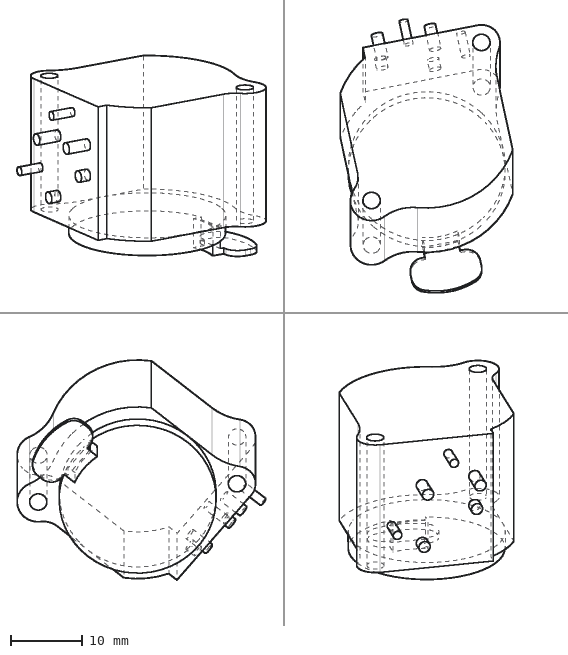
import cadquery as cq
import math

body_radius = 12.8
half_width = 11.0
body_height = 19.5
pin_face_y = -12.5
pin_face_right_x = 6.52

lug_offset = 9.9
right_lug_radius = 2.97
left_lug_radius = -pin_face_y - lug_offset
screw_hole_diameter = 2.4
top_blend_radius = 6.52
right_blend_radius = 3.0
left_blend_radius = 8.15

base_radius = half_width
base_height = 2.65

total_height = 26.4
lever_bottom = body_height - total_height
arm_width = 5.02
arm_inner_y = 9.35
arm_outer_y = 10.65
rim_lip_height = 0.42
plate_thickness = 0.88
plate_tip_y = 16.6
plate_half_width = 5.0
plate_corner_radius = 2.0
plate_inner_y = 11.2
plate_side_end_y = 14.03
plate_tip_radius = 9.98

long_pin_length = 3.52
short_pin_length = 1.5
thick_pin_diameter = 1.63
thin_pin_diameter = 1.25
pin_column_x = 3.8
pin_groups = [
    ([(-pin_column_x, 12.72), (pin_column_x, 13.3)], thick_pin_diameter, long_pin_length),
    ([(-pin_column_x, 3.88), (pin_column_x, 8.87)], thick_pin_diameter, short_pin_length),
    ([(-8.2, 6.98), (0, 17.13)], thin_pin_diameter, long_pin_length),
]


def toward(start, end, distance):
    """Point at a distance from start along the line to end."""
    span = math.dist(start, end)
    return (
        start[0] + (end[0] - start[0]) * distance / span,
        start[1] + (end[1] - start[1]) * distance / span,
    )


def arc_middle(center, start, end):
    """Middle point of the shorter arc between two points of a circle."""
    chord_middle = ((start[0] + end[0]) / 2, (start[1] + end[1]) / 2)
    return toward(center, chord_middle, math.dist(center, start))


def add_arc(outline, center, start, end):
    return outline.threePointArc(arc_middle(center, start, end), end)


def circle_reach(x):
    """Distance along Y from the body axis to its circle at a given x."""
    return math.sqrt(body_radius**2 - x**2)


def make_body():
    origin = (0, 0)
    right_lug = (lug_offset, lug_offset)
    left_lug = (-lug_offset, -lug_offset)

    center_distance = math.hypot(*right_lug)
    to_body = body_radius + top_blend_radius
    to_lug = right_lug_radius + top_blend_radius
    cosine = (center_distance**2 + to_body**2 - to_lug**2) / (2 * center_distance * to_body)
    angle = math.atan2(lug_offset, lug_offset) + math.acos(cosine)
    top_blend = (to_body * math.cos(angle), to_body * math.sin(angle))
    top_blend_start = toward(origin, top_blend, body_radius)
    top_blend_end = toward(right_lug, top_blend, right_lug_radius)

    right_blend_x = half_width + right_blend_radius
    right_reach = right_lug_radius + right_blend_radius
    right_drop = math.sqrt(right_reach**2 - (right_blend_x - lug_offset) ** 2)
    right_blend = (right_blend_x, lug_offset - right_drop)
    right_blend_start = toward(right_lug, right_blend, right_lug_radius)
    right_blend_end = (half_width, right_blend[1])

    left_blend_x = -half_width - left_blend_radius
    left_reach = left_lug_radius + left_blend_radius
    left_rise = math.sqrt(left_reach**2 - (left_blend_x + lug_offset) ** 2)
    left_blend = (left_blend_x, left_rise - lug_offset)
    left_blend_start = toward(left_lug, left_blend, left_lug_radius)
    left_blend_end = (-half_width, left_blend[1])

    left_shoulder = (-half_width, circle_reach(half_width))
    right_shoulder = (half_width, -circle_reach(half_width))
    notch = (pin_face_right_x, -circle_reach(pin_face_right_x))
    lug_outer = toward(right_lug, origin, -right_lug_radius)
    lug_left = (-lug_offset - left_lug_radius, -lug_offset)
    lug_bottom = (-lug_offset, pin_face_y)

    outline = cq.Workplane("XY").moveTo(*left_shoulder)
    outline = add_arc(outline, origin, left_shoulder, top_blend_start)
    outline = add_arc(outline, top_blend, top_blend_start, top_blend_end)
    outline = outline.threePointArc(lug_outer, right_blend_start)
    outline = add_arc(outline, right_blend, right_blend_start, right_blend_end)
    outline = outline.lineTo(*right_shoulder)
    outline = add_arc(outline, origin, right_shoulder, notch)
    outline = outline.lineTo(pin_face_right_x, pin_face_y).lineTo(*lug_bottom)
    outline = outline.threePointArc(lug_left, left_blend_start)
    outline = add_arc(outline, left_blend, left_blend_start, left_blend_end)
    body = outline.close().extrude(body_height)
    screw_face = body.faces(">Z").workplane(origin=(0, 0, body_height))
    return screw_face.pushPoints([right_lug, left_lug]).hole(screw_hole_diameter)


def make_base():
    return cq.Workplane("XY").circle(base_radius).extrude(-base_height)


def make_plate():
    corner_x = plate_half_width - plate_corner_radius
    inner_corner_y = plate_inner_y + plate_corner_radius
    tip_corner = (corner_x, plate_side_end_y)
    tip_center = (0, plate_tip_y - plate_tip_radius)
    tip_start = (0, plate_tip_y)
    tip_end = toward(tip_center, tip_corner, plate_tip_radius)
    side_start = (plate_half_width, plate_side_end_y)
    side_end = (plate_half_width, inner_corner_y)
    inner_end = (corner_x, plate_inner_y)

    outline = cq.Workplane("XY").workplane(offset=lever_bottom).moveTo(*tip_start)
    outline = add_arc(outline, tip_center, tip_start, tip_end)
    outline = add_arc(outline, tip_corner, tip_end, side_start)
    outline = outline.lineTo(*side_end)
    outline = add_arc(outline, (corner_x, inner_corner_y), side_end, inner_end)
    outline = outline.lineTo(0, plate_inner_y)
    return outline.mirrorY().extrude(plate_thickness)


def make_arm_block(start_y, end_y, bottom, top):
    """Block of the arm width between two places along Y."""
    block = cq.Workplane("XY").workplane(offset=bottom).center(0, (start_y + end_y) / 2)
    return block.rect(arm_width, end_y - start_y).extrude(top - bottom)


def make_lever():
    arm = make_arm_block(arm_inner_y, arm_outer_y, lever_bottom, -base_height)
    foot = make_arm_block(arm_inner_y, plate_inner_y, lever_bottom, lever_bottom + plate_thickness)
    hollow_radius = math.hypot(arm_inner_y, arm_width / 2)
    hollow_height = -base_height - lever_bottom
    hollow = cq.Workplane("XY").workplane(offset=lever_bottom).circle(hollow_radius).extrude(hollow_height)

    lip = make_arm_block(arm_outer_y, base_radius, -base_height - rim_lip_height, 0)
    lip = lip.intersect(cq.Workplane("XY").circle(base_radius).extrude(lever_bottom))
    return arm.union(foot).cut(hollow).union(make_plate()).union(lip)


def make_pins(places, diameter, length):
    face = cq.Workplane("XZ", origin=(0, pin_face_y, 0))
    return face.pushPoints(places).circle(diameter / 2).extrude(length)


result = make_body().union(make_base()).union(make_lever())
for places, diameter, length in pin_groups:
    result = result.union(make_pins(places, diameter, length))